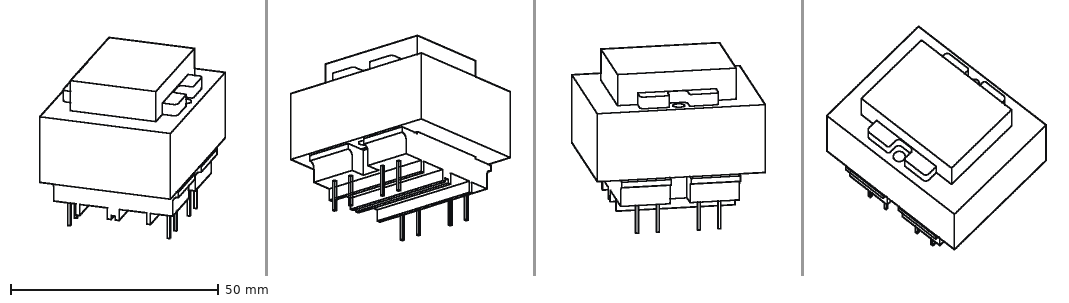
import cadquery as cq
import math

CORE_X = 33.3
CORE_Y = 41.25
CORE_BOTTOM = 14.7
CORE_TOP = 31.8
HOLE_DIAMETER = 2.85
HOLE_X = 13.5

COIL_X = 21.8
COIL_Y = 29.15
COIL_TOP = 39.65

TAB_X = 29.2
TAB_Y = 19.3
TAB_TOP = 34.75
TAB_CORNER_RADIUS = 1.0
NOTCH_WIDTH = 4.9
NOTCH_BACK_X = 11.05
NOTCH_MOUTH_RADIUS = 0.45
NOTCH_BACK_RADIUS = 1.1
EDGE_REACH = 0.05

BASE_TOP = 14.2
LIP_BOTTOM = 12.8
BASE_BOTTOM = 7.68
BASE_X = 30.3
LIP_OVERHANG = (CORE_X - BASE_X) / 2

RIB_BOTTOM = 4.8
RIB_WIDTH = 1.0
RIB_X = 9.0
CENTER_RIB_WIDTH = 3.05
GROOVE_WIDTH = 1.07
GROOVE_DEPTH = 1.0

PIN_WIDTH = 0.65
PIN_X = 12.65
PIN_INNER_Y = 5.05
PIN_OUTER_Y = 10.1


def block(size_x, size_y, bottom, top, x=0):
    """Upright block centred on (x, 0) between two heights."""
    return (
        cq.Workplane("XY", origin=(x, 0, bottom))
        .rect(size_x, size_y)
        .extrude(top - bottom)
    )


def notches(outer_x, bottom, top):
    """Pair of notches, open outwards at +X and -X, around the mounting holes."""
    depth = outer_x - NOTCH_BACK_X
    center_x = NOTCH_BACK_X + depth / 2
    right = block(depth, NOTCH_WIDTH, bottom, top, center_x)
    left = block(depth, NOTCH_WIDTH, bottom, top, -center_x)
    return right.union(left)


def make_core():
    core = block(CORE_X, CORE_Y, CORE_BOTTOM, CORE_TOP)
    holes = (
        cq.Workplane("XY", origin=(0, 0, CORE_BOTTOM))
        .pushPoints([(-HOLE_X, 0), (HOLE_X, 0)])
        .circle(HOLE_DIAMETER / 2)
        .extrude(CORE_TOP - CORE_BOTTOM)
    )
    return core.cut(holes)


def make_tabs():
    """Tab plate whose two halves appear on either side of the coil."""
    back = NOTCH_BACK_X
    outer = TAB_X / 2
    half_notch = NOTCH_WIDTH / 2
    plate = block(TAB_X, TAB_Y, CORE_TOP, TAB_TOP).edges("|Z").fillet(TAB_CORNER_RADIUS)
    plate = plate.cut(notches(outer, CORE_TOP, TAB_TOP))
    for radius, corner_x in ((NOTCH_MOUTH_RADIUS, outer), (NOTCH_BACK_RADIUS, back)):
        for side in (-1, 1):
            corners = cq.selectors.BoxSelector(
                (side * corner_x - EDGE_REACH, -half_notch - EDGE_REACH, CORE_TOP),
                (side * corner_x + EDGE_REACH, half_notch + EDGE_REACH, TAB_TOP),
            )
            plate = plate.edges("|Z").edges(corners).fillet(radius)
    return plate


def make_base():
    """Base with a concave round under each lip and a notch below each hole."""
    half_lip = CORE_X / 2
    half_base = BASE_X / 2
    round_bottom = LIP_BOTTOM - LIP_OVERHANG
    bulge = LIP_OVERHANG * math.sqrt(0.5)
    profile = (
        cq.Workplane("XZ", origin=(0, COIL_Y / 2, 0))
        .moveTo(-half_base, BASE_BOTTOM)
        .lineTo(half_base, BASE_BOTTOM)
        .lineTo(half_base, round_bottom)
        .threePointArc((half_lip - bulge, round_bottom + bulge), (half_lip, LIP_BOTTOM))
        .lineTo(half_lip, BASE_TOP)
        .lineTo(-half_lip, BASE_TOP)
        .lineTo(-half_lip, LIP_BOTTOM)
        .threePointArc((bulge - half_lip, round_bottom + bulge), (-half_base, round_bottom))
        .close()
    )
    return profile.extrude(COIL_Y).cut(notches(half_lip, BASE_BOTTOM, BASE_TOP))


def make_ribs():
    ribs = block(CENTER_RIB_WIDTH, COIL_Y, RIB_BOTTOM, BASE_BOTTOM)
    ribs = ribs.cut(block(GROOVE_WIDTH, COIL_Y, RIB_BOTTOM, RIB_BOTTOM + GROOVE_DEPTH))
    for x in (-RIB_X, RIB_X):
        ribs = ribs.union(block(RIB_WIDTH, COIL_Y, RIB_BOTTOM, BASE_BOTTOM, x))
    return ribs


def make_pins():
    places = [
        (x, y)
        for x in (-PIN_X, PIN_X)
        for y in (-PIN_OUTER_Y, -PIN_INNER_Y, PIN_INNER_Y, PIN_OUTER_Y)
    ]
    return cq.Workplane("XY").pushPoints(places).rect(PIN_WIDTH, PIN_WIDTH).extrude(BASE_BOTTOM)


result = (
    make_core()
    .union(block(COIL_X, COIL_Y, BASE_TOP, COIL_TOP))
    .union(make_tabs())
    .union(make_base())
    .union(make_ribs())
    .union(make_pins())
)